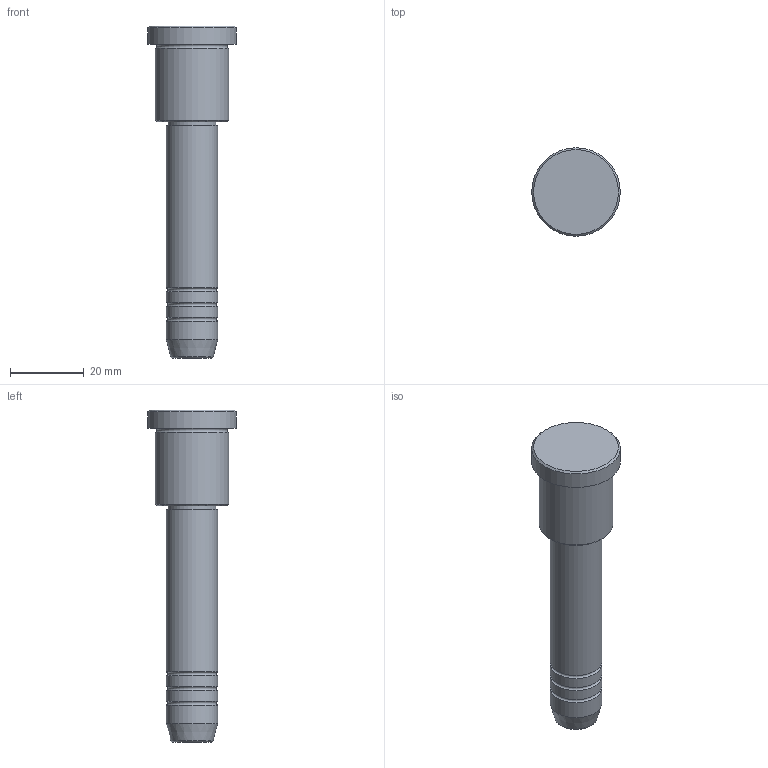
import cadquery as cq
import math

total_length = 90.0

head_diameter = 24.0
head_height = 5.0
head_chamfer = 0.5

body_diameter = 20.0
body_length = 21.0
body_chamfer = 0.5

shaft_diameter = 14.0
neck_diameter = 13.0
neck_length = 1.0

taper_height = 5.0
taper_angle = 15.0
tip_fillet = 0.5

groove_radius = 0.5
groove_count = 3
groove_pitch = 4.0
lowest_groove_center = 10.5

head_bottom = total_length - head_height
body_bottom = head_bottom - body_length
neck_bottom = body_bottom - neck_length


def cylinder(diameter, bottom, top):
    """Solid cylinder on the Z axis between two heights."""
    return cq.Workplane("XY").workplane(offset=bottom).circle(diameter / 2).extrude(top - bottom)


def make_head():
    head = cylinder(head_diameter, head_bottom, total_length)
    return head.faces(">Z").edges().chamfer(head_chamfer)


def make_body():
    body = cylinder(body_diameter, body_bottom, head_bottom)
    return body.faces("<Z").edges().chamfer(body_chamfer)


def make_shaft():
    """Straight shaft with a tapered tip rounded at its end."""
    shaft_radius = shaft_diameter / 2
    tip_radius = shaft_radius - taper_height * math.tan(math.radians(taper_angle))
    profile = (
        cq.Workplane("XZ")
        .moveTo(0, 0)
        .lineTo(tip_radius, 0)
        .lineTo(shaft_radius, taper_height)
        .lineTo(shaft_radius, neck_bottom)
        .lineTo(0, neck_bottom)
        .close()
    )
    shaft = profile.revolve(360, (0, 0, 0), (0, 1, 0))
    return shaft.faces("<Z").edges().fillet(tip_fillet)


def ring_groove_cutter(cylinder_diameter, center_height):
    """Torus centered on a cylinder's surface, cutting a semicircular groove around it."""
    section = cq.Workplane("XZ").center(cylinder_diameter / 2, center_height).circle(groove_radius)
    return section.revolve(360, (-cylinder_diameter / 2, 0, 0), (-cylinder_diameter / 2, 1, 0))


neck = cylinder(neck_diameter, neck_bottom, body_bottom)

relief_center = head_bottom - groove_radius
body = make_body().cut(ring_groove_cutter(body_diameter, relief_center))

result = make_head().union(body).union(neck).union(make_shaft())

for index in range(groove_count):
    groove_center = lowest_groove_center + index * groove_pitch
    result = result.cut(ring_groove_cutter(shaft_diameter, groove_center))